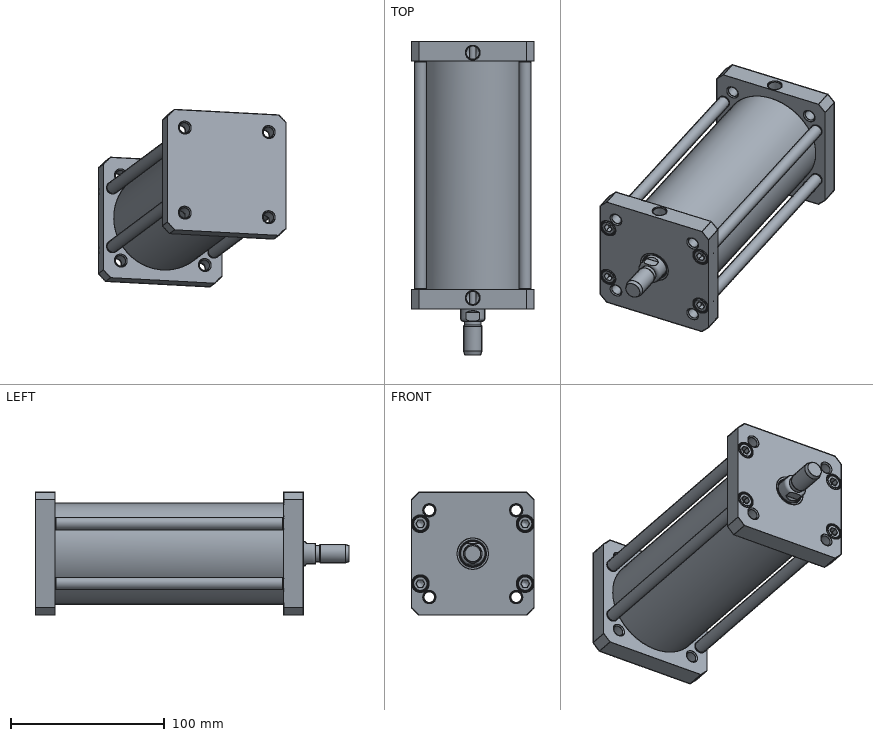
import cadquery as cq
import math


overall_length = 204.0
rod_reach = 29.8
plate_side = 80.0
plate_thickness = 12.9
plate_corner_chamfer = 4.9
rear_face_y = overall_length - rod_reach
front_inner_y = plate_thickness
rear_inner_y = rear_face_y - plate_thickness

tube_diameter = 66.0
bore_diameter = 63.0

mount_spacing = 56.5
mount_hole_diameter = 7.0
mount_mouth_diameter = 8.5
mount_mouth_depth = (mount_mouth_diameter - mount_hole_diameter) / 2

port_diameter = 8.5
port_mouth_diameter = 9.5
port_mouth_depth = 0.6
port_depth = 20.5
port_offset = 7.3
port_bar_diameter = 4.0
port_bar_depth = 9.2
drill_point_angle = 118.0

tie_spacing_x = 68.1
tie_spacing_z = 39.0
tie_rod_diameter = 8.0
tie_neck_diameter = 6.7
tie_neck_gap = 0.6
tie_rear_depth = 8.2
head_diameter = 10.0
head_height = 8.0
head_chamfer = 0.6
head_bore_diameter = 10.5
head_mouth_diameter = 11.5
head_mouth_depth = 0.5
socket_width = 4.9
socket_depth = 4.0
socket_corner_diameter = socket_width / math.cos(math.pi / 6)

rod_diameter = 16.0
rod_flat_width = 13.3
rod_flat_start_y = -2.2
rod_shoulder_y = -8.0
rod_shoulder_fillet = 2.0
rod_neck_diameter = 10.8
rod_thread_diameter = 12.0
rod_thread_y = -11.2
rod_thread_runout = 0.8
rod_tip_diameter = 10.5
rod_tip_length = 2.5

rod_recess_steps = [(20.5, 0.2), (17.7, 1.2), (16.5, 2.0)]


def round_bar(origin, direction, length, diameter, end_diameter=None):
    """Cylinder, or cone frustum when an end diameter is given."""
    start = cq.Vector(*origin)
    axis = cq.Vector(*direction)
    if end_diameter is None:
        solid = cq.Solid.makeCylinder(diameter / 2, length, start, axis)
    else:
        solid = cq.Solid.makeCone(diameter / 2, end_diameter / 2, length, start, axis)
    return cq.Workplane(obj=solid)


def along_y(start_y, end_y, diameter, end_diameter=None, x=0.0, z=0.0):
    return round_bar((x, start_y, z), (0, 1, 0), end_y - start_y, diameter, end_diameter)


def drill_point_length(diameter):
    return diameter / 2 / math.tan(math.radians(drill_point_angle / 2))


def corner_points(spacing_x, spacing_z):
    return [(i * spacing_x / 2, k * spacing_z / 2) for i in (-1, 1) for k in (-1, 1)]


tie_points = corner_points(tie_spacing_x, tie_spacing_z)
mount_points = corner_points(mount_spacing, mount_spacing)


def cut_mount_hole(plate, start_y, x, z):
    end_y = start_y + plate_thickness
    plate = plate.cut(along_y(start_y, end_y, mount_hole_diameter, x=x, z=z))
    plate = plate.cut(
        along_y(start_y, start_y + mount_mouth_depth, mount_mouth_diameter, mount_hole_diameter, x, z)
    )
    return plate.cut(
        along_y(end_y - mount_mouth_depth, end_y, mount_hole_diameter, mount_mouth_diameter, x, z)
    )


def add_port(plate, port_y):
    """Drill the air port down from the plate top and put in its cross bar."""
    top_z = plate_side / 2
    mouth_point = (0, port_y, top_z)
    floor_point = (0, port_y, top_z - port_depth)
    down = (0, 0, -1)
    plate = plate.cut(round_bar(mouth_point, down, port_depth, port_diameter))
    plate = plate.cut(round_bar(mouth_point, down, port_mouth_depth, port_mouth_diameter, port_diameter))
    plate = plate.cut(
        round_bar(floor_point, down, drill_point_length(port_diameter), port_diameter, 0.0)
    )
    half_length = port_mouth_diameter / 2
    cross_bar = along_y(
        port_y - half_length, port_y + half_length, port_bar_diameter, z=top_z - port_bar_depth
    )
    return plate.union(cross_bar)


def make_plain_plate(start_y, port_y):
    """What both end plates share: block, corner chamfers, mounting holes and air port."""
    plate = (
        cq.Workplane("XY")
        .box(plate_side, plate_thickness, plate_side)
        .edges("|Y")
        .chamfer(plate_corner_chamfer)
        .translate((0, start_y + plate_thickness / 2, 0))
    )
    for x, z in mount_points:
        plate = cut_mount_hole(plate, start_y, x, z)
    return add_port(plate, port_y)


def make_front_plate():
    plate = make_plain_plate(0.0, port_offset)
    plate = plate.cut(along_y(0, plate_thickness, rod_diameter))
    for diameter, depth in rod_recess_steps:
        plate = plate.cut(along_y(0, depth, diameter))
    for x, z in tie_points:
        plate = plate.cut(along_y(0, head_height, head_bore_diameter, x=x, z=z))
        plate = plate.cut(along_y(0, head_mouth_depth, head_mouth_diameter, head_bore_diameter, x, z))
        plate = plate.cut(along_y(head_height, front_inner_y, tie_neck_diameter, x=x, z=z))
    return plate


def make_rear_plate():
    plate = make_plain_plate(rear_inner_y, rear_face_y - port_offset)
    for x, z in tie_points:
        plate = plate.cut(along_y(rear_inner_y, rear_inner_y + tie_rear_depth, tie_neck_diameter, x=x, z=z))
    return plate


def make_tube():
    outside = along_y(front_inner_y, rear_inner_y, tube_diameter)
    return outside.cut(along_y(front_inner_y, rear_inner_y, bore_diameter))


def make_hex_socket(x, z):
    """Hexagonal pocket with a conical drilled floor."""
    full_depth = socket_depth + drill_point_length(socket_corner_diameter)
    hexagon = (
        cq.Workplane("XZ", origin=(x, 0, z))
        .polygon(6, socket_corner_diameter)
        .extrude(-full_depth)
    )
    drilled = along_y(0, socket_depth, socket_corner_diameter, x=x, z=z).union(
        along_y(socket_depth, full_depth, socket_corner_diameter, 0.0, x, z)
    )
    return hexagon.intersect(drilled)


def make_tie_rod(x, z):
    head = along_y(0, head_height, head_diameter, x=x, z=z).faces("<Y").chamfer(head_chamfer)
    neck = along_y(head_height, rear_inner_y + tie_rear_depth, tie_neck_diameter, x=x, z=z)
    shank = along_y(
        front_inner_y + tie_neck_gap, rear_inner_y - tie_neck_gap, tie_rod_diameter, x=x, z=z
    )
    return head.union(neck).union(shank).cut(make_hex_socket(x, z))


def make_flat_cutter():
    """Material removed by the upper wrench flat, with a 45 degree run-out."""
    flat_z = rod_flat_width / 2
    rise = rod_diameter / 2
    return (
        cq.Workplane("YZ")
        .moveTo(rod_shoulder_y, flat_z)
        .lineTo(rod_flat_start_y, flat_z)
        .lineTo(rod_flat_start_y + rise, flat_z + rise)
        .lineTo(rod_shoulder_y, flat_z + rise)
        .close()
        .extrude(rod_diameter / 2, both=True)
    )


def make_piston_rod():
    tip_y = -rod_reach
    tip_end_y = tip_y + rod_tip_length
    runout_end_y = rod_thread_y + rod_thread_runout
    rod = along_y(rod_shoulder_y, front_inner_y, rod_diameter).faces("<Y").edges().fillet(rod_shoulder_fillet)
    flat_cutter = make_flat_cutter()
    rod = rod.cut(flat_cutter).cut(flat_cutter.mirror("XY"))
    rod = rod.union(along_y(rod_thread_y, rod_shoulder_y, rod_neck_diameter))
    rod = rod.union(along_y(rod_thread_y, runout_end_y, rod_thread_diameter, rod_neck_diameter))
    rod = rod.union(along_y(tip_end_y, rod_thread_y, rod_thread_diameter))
    return rod.union(along_y(tip_y, tip_end_y, rod_tip_diameter, rod_thread_diameter))


front_plate = make_front_plate()
rear_plate = make_rear_plate()
tube = make_tube()
piston_rod = make_piston_rod()
tie_rods = [make_tie_rod(x, z) for x, z in tie_points]

bodies = [front_plate, rear_plate, tube, piston_rod, *tie_rods]
result = cq.Compound.makeCompound([body.solids().val() for body in bodies])